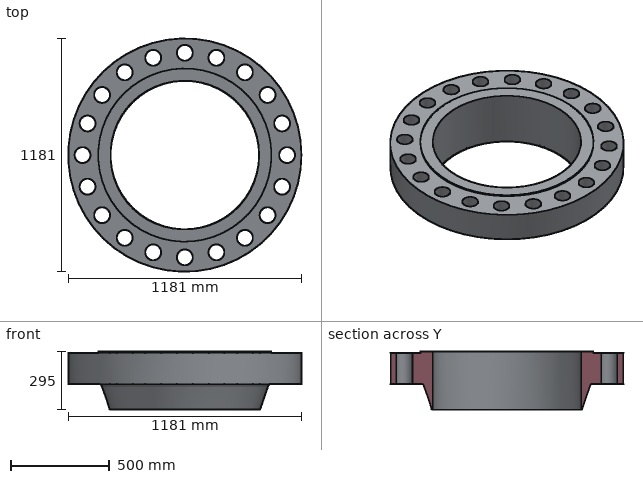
import cadquery as cq

flange_diameter = 1181.0
total_height = 295.0
bore_diameter = 750.0

face_diameter = 876.0
face_height = 7.0

disc_thickness = 158.0
disc_top = total_height - face_height
disc_bottom = disc_top - disc_thickness

neck_tip_diameter = 756.0
neck_bevel_diameter = 764.0
neck_bevel_height = 4.0
neck_root_diameter = 850.0
root_fillet = 12.0

bolt_count = 20
bolt_hole_diameter = 79.0
bolt_circle_diameter = 1035.0


def flange_body():
    """Revolve the half section of the disc, raised face and neck about Z."""
    half_section = [
        (bore_diameter / 2, 0),
        (neck_tip_diameter / 2, 0),
        (neck_bevel_diameter / 2, neck_bevel_height),
        (neck_root_diameter / 2, disc_bottom),
        (flange_diameter / 2, disc_bottom),
        (flange_diameter / 2, disc_top),
        (face_diameter / 2, disc_top),
        (face_diameter / 2, total_height),
        (bore_diameter / 2, total_height),
    ]
    body = cq.Workplane("XZ").polyline(half_section).close().revolve(360, (0, 0), (0, 1))
    underside = body.faces("|Z").faces("<Z[-2]")
    neck_root = underside.edges("%CIRCLE").edges(cq.selectors.RadiusNthSelector(0))
    return neck_root.fillet(root_fillet)


def bolt_holes():
    """Cylinders through the disc, the first one on the +X axis."""
    return (
        cq.Workplane("XY")
        .workplane(offset=disc_bottom)
        .polarArray(bolt_circle_diameter / 2, 0, 360, bolt_count)
        .circle(bolt_hole_diameter / 2)
        .extrude(disc_thickness)
    )


result = flange_body().cut(bolt_holes())